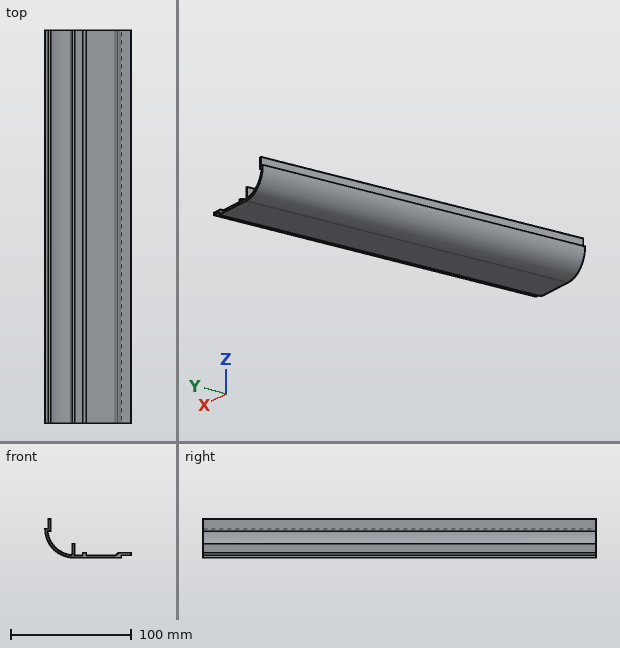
import cadquery as cq
import math

length = 325.4
width = 71.25
height = 32.2

wall = 2.1
embed = wall / 2

outer_radius = 24.2
inner_radius = outer_radius - wall
arc_center_x = outer_radius
arc_center_z = outer_radius

upright_thickness = 2.0
ledge_top = arc_center_z
ledge_bottom = ledge_top - wall
lip_left = 2.7
lip_right = lip_left + upright_thickness

rib_right = 24.5
rib_left = rib_right - upright_thickness
rib_top = 11.8
rib_fillet = 1.2

joggle_start = 57.8
joggle_run = 4.1
joggle_rise = 2.15
joggle_end = joggle_start + joggle_run
floor_end = 63.2
tongue_bottom = wall
tongue_top = wall + joggle_rise

bar_left = 31.2
bar_width = 3.0
bar_right = bar_left + bar_width
bar_top = tongue_top


def arc_point(radius, angle_deg):
    """Point on a circle about the curved wall's center, measured from +X."""
    angle = math.radians(angle_deg)
    x = arc_center_x + radius * math.cos(angle)
    z = arc_center_z + radius * math.sin(angle)
    return (x, z)


def full_length(outline):
    """Extrude a closed XZ outline over the whole length, centered on Y = 0."""
    return outline.extrude(length / 2, both=True)


def block(left, right, bottom, top):
    """Full-length rectangular bar, given by its extents in X and Z."""
    middle = ((left + right) / 2, (bottom + top) / 2)
    outline = cq.Workplane("XZ").center(*middle).rect(right - left, top - bottom)
    return full_length(outline)


def curved_wall():
    outline = (
        cq.Workplane("XZ")
        .moveTo(*arc_point(outer_radius, 180))
        .threePointArc(arc_point(outer_radius, 225), arc_point(outer_radius, 270))
        .lineTo(*arc_point(inner_radius, 270))
        .threePointArc(arc_point(inner_radius, 225), arc_point(inner_radius, 180))
        .close()
    )
    return full_length(outline)


def floor_and_tongue():
    """Flat floor whose top climbs two tangent arcs to the raised tongue."""
    joggle_middle = ((joggle_start + joggle_end) / 2, (wall + tongue_top) / 2)
    outline = (
        cq.Workplane("XZ")
        .moveTo(arc_center_x, 0)
        .lineTo(floor_end, 0)
        .lineTo(floor_end, tongue_bottom)
        .lineTo(width, tongue_bottom)
        .lineTo(width, tongue_top)
        .lineTo(joggle_end, tongue_top)
        .tangentArcPoint(joggle_middle, relative=False)
        .tangentArcPoint((joggle_start, wall), relative=False)
        .lineTo(arc_center_x, wall)
        .close()
    )
    return full_length(outline)


def lip_with_ledge():
    ledge = block(embed, lip_right, ledge_bottom, ledge_top)
    lip = block(lip_left, lip_right, ledge_bottom, height)
    return ledge.union(lip)


def fillet_rib_foot(body):
    """Round the inner corner where the rib's left face meets the curved wall."""
    rise = math.sqrt(inner_radius**2 - (arc_center_x - rib_left) ** 2)
    foot = (rib_left, 0, arc_center_z - rise)
    return body.edges(cq.selectors.NearestToPointSelector(foot)).fillet(rib_fillet)


rib = block(rib_left, rib_right, embed, rib_top)
low_bar = block(bar_left, bar_right, embed, bar_top)

profile = (
    floor_and_tongue()
    .union(curved_wall())
    .union(lip_with_ledge())
    .union(rib)
    .union(low_bar)
    .clean()
)

result = fillet_rib_foot(profile)